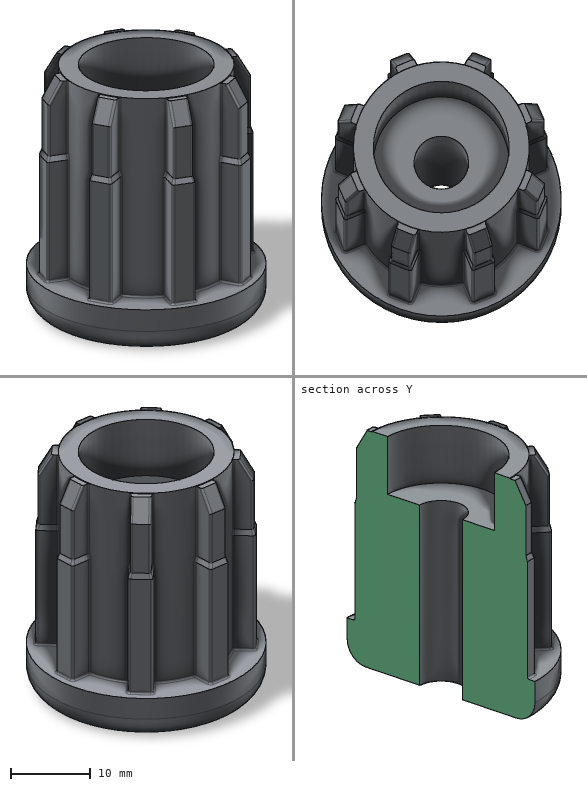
import cadquery as cq
import math

TOTAL_HEIGHT = 33
FLANGE_DIAMETER = 30.0
FLANGE_RADIUS = FLANGE_DIAMETER / 2
FLANGE_HEIGHT = 6.0
FLANGE_ROUNDING = 3.07

STEM_RADIUS = 11.0
BORE_RADIUS = 8.48
BORE_DEPTH = 8.0
HOLE_RADIUS = 3.4

RIB_COUNT = 8
RIB_STEP = 0.25
RIB_STEP_HEIGHT = 0.75
LOWER_RIB_RADIUS = 13.75
LOWER_RIB_WIDTH = 3.1
UPPER_RIB_RADIUS = LOWER_RIB_RADIUS - RIB_STEP
UPPER_RIB_WIDTH = LOWER_RIB_WIDTH - 2 * RIB_STEP
UPPER_RIB_BOTTOM = 23.0
LOWER_RIB_TOP = UPPER_RIB_BOTTOM - RIB_STEP_HEIGHT
RIB_TOP_GAP = 0.1
RIB_TOP = TOTAL_HEIGHT - RIB_TOP_GAP
LEAD_IN_ANGLE = 30
LEAD_IN_HEIGHT = 2.97
LEAD_IN_DEPTH = LEAD_IN_HEIGHT * math.tan(math.radians(LEAD_IN_ANGLE))
RIB_INNER_RADIUS = (BORE_RADIUS + STEM_RADIUS) / 2

RIB_EDGE_ROUNDING = 0.3
ROOT_ROUNDING = 0.25

TOLERANCE = 0.015


def make_flange():
    flange = cq.Workplane("XY").circle(FLANGE_RADIUS).extrude(FLANGE_HEIGHT)
    return flange.faces("<Z").edges().fillet(FLANGE_ROUNDING)


def make_stem():
    return cq.Workplane("XY").circle(STEM_RADIUS).extrude(TOTAL_HEIGHT)


def rib_section(radius, width, z):
    """Rectangle across the rib, from inside the stem wall out to the given radius."""
    center_x = (RIB_INNER_RADIUS + radius) / 2
    return cq.Workplane("XY", origin=(center_x, 0, z)).rect(radius - RIB_INNER_RADIUS, width)


def make_rib():
    """One rib along +X, with its long outer edges rounded."""
    lower_end = rib_section(LOWER_RIB_RADIUS, LOWER_RIB_WIDTH, LOWER_RIB_TOP)
    upper_start = rib_section(UPPER_RIB_RADIUS, UPPER_RIB_WIDTH, UPPER_RIB_BOTTOM)
    step = cq.Solid.makeLoft([lower_end.val(), upper_start.val()], True)
    lower = lower_end.extrude(FLANGE_HEIGHT - LOWER_RIB_TOP)
    upper = upper_start.extrude(RIB_TOP - UPPER_RIB_BOTTOM)
    upper = upper.faces(">Z").edges(">X").chamfer(LEAD_IN_HEIGHT, LEAD_IN_DEPTH)
    rib = lower.union(cq.Workplane(step)).union(upper)

    side_edges = rib.edges("not(#Z)")
    outer_edges = side_edges.filter(lambda edge: edge.Center().x > STEM_RADIUS)
    return outer_edges.fillet(RIB_EDGE_ROUNDING)


def add_ribs(body):
    rib = make_rib()
    for index in range(RIB_COUNT):
        body = body.union(rib.rotate((0, 0, 0), (0, 0, 1), 360 / RIB_COUNT * index))
    return body


def is_root(edge):
    """True where a rib meets the stem, or where a rib or the stem meets the flange."""
    middle = edge.positionAt(0.5)
    radius = math.hypot(middle.x, middle.y)
    box = edge.BoundingBox()
    is_level = box.zlen < TOLERANCE
    on_flange_top = is_level and abs(middle.z - FLANGE_HEIGHT) < TOLERANCE
    inside_flange_rim = radius < FLANGE_RADIUS - TOLERANCE
    on_stem_wall = not is_level and abs(radius - STEM_RADIUS) < TOLERANCE
    return (on_flange_top and inside_flange_rim) or on_stem_wall


def round_roots(body):
    """Fillet every inside corner between ribs, stem and flange."""
    return body.edges().filter(is_root).fillet(ROOT_ROUNDING)


def cut_bore(body):
    """Flat-bottomed bore from the top, with a smaller hole on through the flange."""
    bore = cq.Workplane("XY", origin=(0, 0, TOTAL_HEIGHT)).circle(BORE_RADIUS).extrude(-BORE_DEPTH)
    hole = cq.Workplane("XY").circle(HOLE_RADIUS).extrude(TOTAL_HEIGHT)
    return body.cut(bore).cut(hole)


body = make_flange().union(make_stem())
body = add_ribs(body)
body = round_roots(body)
result = cut_bore(body)